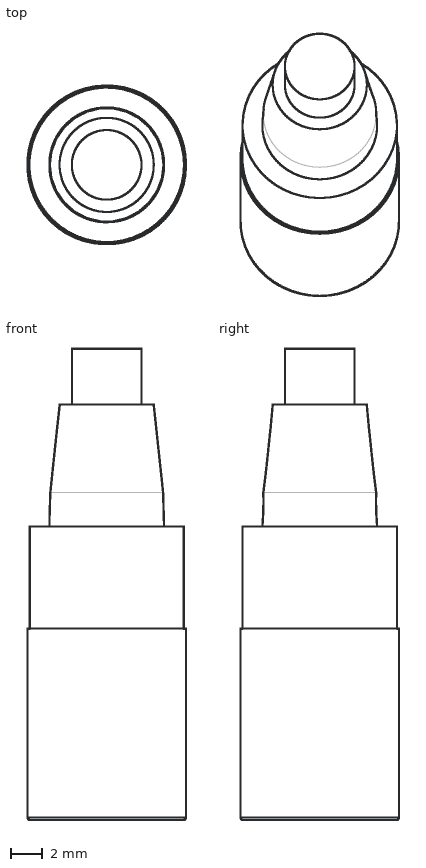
import cadquery as cq

TOTAL_HEIGHT = 29.7
SLEEVE_TOP = 12.05
SHOULDER_TOP = 18.5
COLLAR_TOP = 20.65
CONE_TOP = 26.2

SLEEVE_DIAMETER = 10.0
SLEEVE_RADIUS = SLEEVE_DIAMETER / 2
SHOULDER_RADIUS = 4.87
COLLAR_BASE_RADIUS = 3.62
CONE_BASE_RADIUS = 3.55
CONE_TOP_RADIUS = 2.97
TIP_RADIUS = 2.2

CHAMFER_HEIGHT = 0.15
CHAMFER_WIDTH = 0.1


def revolve_profile(points):
    """Revolve a closed (radius, height) outline about the Z axis."""
    outline = cq.Workplane("XZ").polyline(points).close()
    return outline.revolve(360, (0, 0), (0, 1))


def make_sleeve():
    """Wide lower cylinder with a small chamfer around its bottom edge."""
    return revolve_profile([
        (0, 0),
        (SLEEVE_RADIUS - CHAMFER_WIDTH, 0),
        (SLEEVE_RADIUS, CHAMFER_HEIGHT),
        (SLEEVE_RADIUS, SLEEVE_TOP),
        (0, SLEEVE_TOP),
    ])


def make_nose():
    """Stepped upper body: shoulder, slightly tapered collar, cone and tip."""
    return revolve_profile([
        (0, SLEEVE_TOP),
        (SHOULDER_RADIUS, SLEEVE_TOP),
        (SHOULDER_RADIUS, SHOULDER_TOP),
        (COLLAR_BASE_RADIUS, SHOULDER_TOP),
        (CONE_BASE_RADIUS, COLLAR_TOP),
        (CONE_TOP_RADIUS, CONE_TOP),
        (TIP_RADIUS, CONE_TOP),
        (TIP_RADIUS, TOTAL_HEIGHT),
        (0, TOTAL_HEIGHT),
    ])


sleeve = make_sleeve()
nose = make_nose()

result = cq.Compound.makeCompound([sleeve.val(), nose.val()])